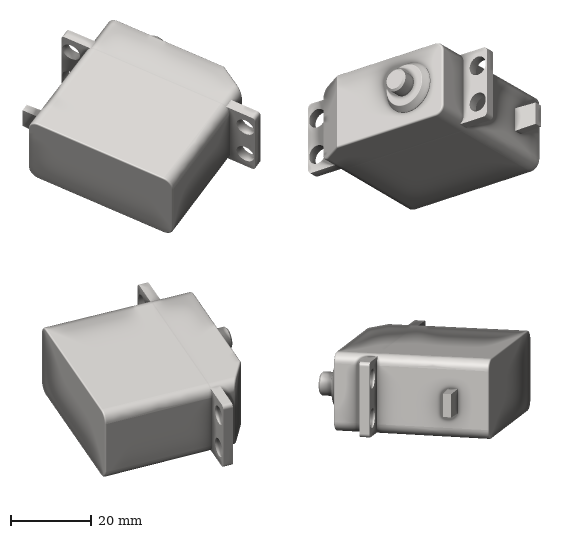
import cadquery as cq
import math


case_length = 41.2
case_width = 20.15
case_height = 40.05
split_height = 29.1
corner_radius = 2.6
taper_growth = 0.1
edge_radius = 0.5
base_edge_radius = 0.4
rim_lip = 0.03
rim_height = 0.35

slope_start_x = 12.55
slope_angle = 32

lug_span = 55.7
lug_width = 19.15
lug_bottom = 28.9
lug_thickness = 2.6
lug_corner_radius = 1.0
hole_diameter = 5.0
hole_spacing_x = 50.0
hole_spacing_z = 10.0

shaft_x = -9.95
boss_base_radius = 6.7
boss_top_radius = 5.5
boss_collar_height = 0.2
boss_height = 1.95
boss_edge_radius = 0.15
shaft_radius = 3.0
shaft_end = 46.0
shaft_edge = 0.5

plug_tip_x = -27.05
plug_root_x = -21.05
plug_center_y = 9.15
plug_center_z = -0.45
plug_root_height = 2.4
plug_root_width = 6.25
plug_tip_height = 2.1
plug_tip_width = 5.9


def section_at(height):
    """Workplane across the Y axis whose normal is +Y."""
    return cq.Workplane(cq.Plane(origin=(0, height, 0), xDir=(1, 0, 0), normal=(0, 1, 0)))


def rounded_outline(length, width, radius):
    return cq.Sketch().rect(length, width).vertices().fillet(radius)


def make_lower_case():
    base = rounded_outline(
        case_length + 2 * taper_growth,
        case_width + 2 * taper_growth,
        corner_radius + taper_growth,
    )
    rim_start = split_height - rim_height
    body_taper = math.degrees(math.atan(taper_growth / rim_start))
    body = section_at(0).placeSketch(base).extrude(rim_start, taper=body_taper)
    body = body.faces("<Y").edges().fillet(base_edge_radius)

    rim_outline = rounded_outline(case_length, case_width, corner_radius)
    rim_taper = math.degrees(math.atan(rim_lip / rim_height))
    rim = section_at(rim_start).placeSketch(rim_outline).extrude(rim_height, taper=rim_taper)
    return body.union(rim)


def make_upper_case():
    outline = rounded_outline(
        case_length - 2 * rim_lip,
        case_width - 2 * rim_lip,
        corner_radius - rim_lip,
    )
    body = section_at(split_height).placeSketch(outline).extrude(case_height - split_height)
    slope_run = case_length / 2 - slope_start_x
    slope_drop = slope_run * math.tan(math.radians(slope_angle))
    wedge = (
        cq.Workplane("XY")
        .moveTo(slope_start_x, case_height)
        .lineTo(case_length / 2, case_height)
        .lineTo(case_length / 2, case_height - slope_drop)
        .close()
        .extrude(case_width / 2, both=True)
    )
    body = body.cut(wedge)
    slope_normal = (math.sin(math.radians(slope_angle)), math.cos(math.radians(slope_angle)), 0)
    top_rim = body.faces(">Y").edges("not(>X)")
    slope_face = body.faces(cq.selectors.DirectionMinMaxSelector(cq.Vector(slope_normal)))
    slope_rim = slope_face.edges("not(<X)")
    return body.newObject(top_rim.vals() + slope_rim.vals()).fillet(edge_radius)


def make_lugs():
    plate = section_at(lug_bottom).placeSketch(
        rounded_outline(lug_span, lug_width, lug_corner_radius)
    ).extrude(lug_thickness)
    holes = (
        section_at(lug_bottom)
        .rarray(hole_spacing_x, hole_spacing_z, 2, 2)
        .circle(hole_diameter / 2)
        .extrude(lug_thickness)
    )
    return plate.cut(holes)


def make_output():
    boss = (
        cq.Workplane("XY", origin=(shaft_x, case_height, 0))
        .lineTo(boss_base_radius, 0)
        .lineTo(boss_base_radius, boss_collar_height)
        .lineTo(boss_top_radius, boss_height)
        .lineTo(0, boss_height)
        .close()
        .revolve(360, (0, 0, 0), (0, 1, 0))
        .faces(">Y")
        .edges()
        .fillet(boss_edge_radius)
    )
    shaft = (
        section_at(case_height)
        .center(shaft_x, 0)
        .circle(shaft_radius)
        .extrude(shaft_end - case_height)
        .faces(">Y")
        .edges()
        .chamfer(shaft_edge)
    )
    return boss.union(shaft)


def make_plug():
    root_plane = cq.Workplane("YZ", origin=(plug_root_x, plug_center_y, plug_center_z))
    root = root_plane.rect(plug_root_height, plug_root_width).extrude(corner_radius)
    tip = (
        root_plane.rect(plug_root_height, plug_root_width)
        .workplane(offset=plug_tip_x - plug_root_x)
        .rect(plug_tip_height, plug_tip_width)
        .loft()
    )
    return root.union(tip)


result = (
    make_lower_case()
    .union(make_upper_case())
    .union(make_lugs())
    .union(make_output())
    .union(make_plug())
)